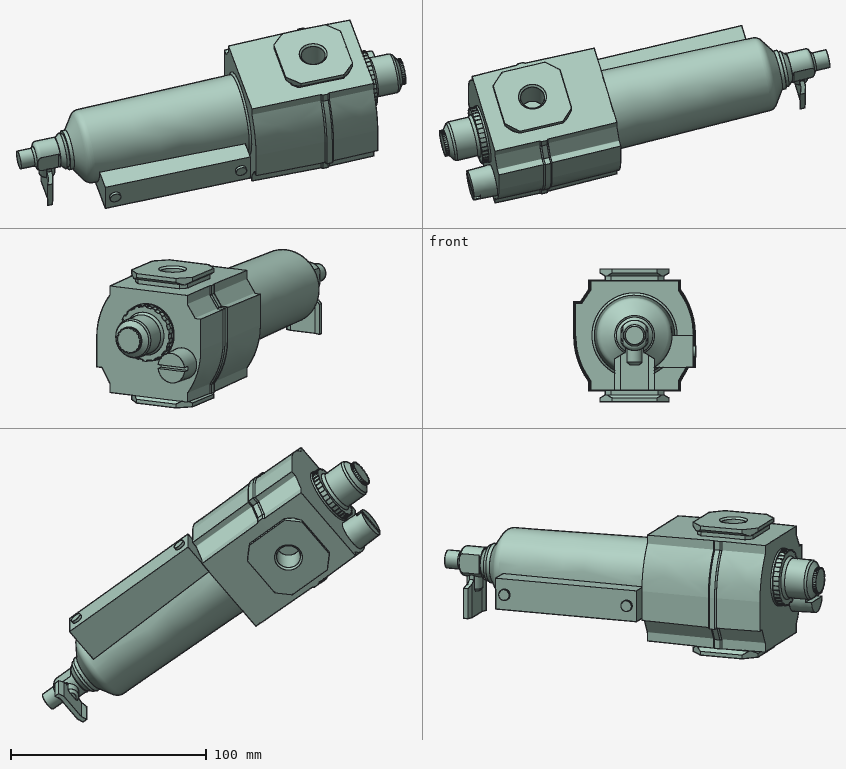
import cadquery as cq
import math


HEAD_BACK = 25.8
HEAD_FRONT = -38.7
HEAD_HALF_HEIGHT = 28.3
HEAD_HALF_WIDTH = 30.5
HEAD_FLAT_HALF_WIDTH = 22.8
CHEEK_EDGE_Z = 23.5
LEFT_STEP_Z = 16.7
RIGHT_STEP_Z = 15.7
STEP_ROOT_X = 27.3
DRAFT_ANGLE = 0.7

RIB_HEIGHT = 0.6
RIB_TOP_HALF_WIDTH = 1.5
RIB_BASE_HALF_WIDTH = 2.2

PORT_TOP = 34.0
PORT_BEVEL_TOP = 32.0
PORT_BEVEL_BOTTOM = 30.3
PORT_HALF_SIZE = 17.7
PORT_CORNER_CUT = 6.3
NECK_HALF_SIZE = 15.0
NECK_CORNER_CUT = 3.0
NECK_ROOT_DEPTH = 2.0
PORT_HOLE_RADIUS = 6.1
PORT_MOUTH_RADIUS = 7.1
PORT_HOLE_DEPTH = 16.3

BOWL_COLLAR_RADIUS = 21.8
BOWL_TOP_RADIUS = 20.5
BOWL_BOTTOM_RADIUS = 19.1
BOWL_COLLAR_END = HEAD_FRONT - 1.0
BOWL_WALL_END = -120.9
SHOULDER_RADIUS = 4.5
SHOULDER_ANGLE = math.radians(55)
SPOUT_RADIUS = 10.2
SPOUT_END = -131.5

PLATE_FACE_X = 30.0
PLATE_HEIGHT = 16.3
PLATE_BACK = -41.7
PLATE_FRONT = -118.6
SCREW_RADIUS = 2.8
SCREW_FACE_X = 31.3
SCREW_INSET = 5.0

BEAD_RADIUS = 9.4
BEAD_ROOT_RADIUS = 8.5
BEAD_TAIL_RADIUS = 7.0
BEAD_CREST_Y = -133.0
BEAD_END = -135.7
VALVE_RADIUS = 7.7
VALVE_HALF_FLAT = 6.0
VALVE_FLAT_START = -136.8
VALVE_ROUND_START = -145.5
VALVE_ROUND_RADIUS = 2.2
TIP_RADIUS = 4.7
TIP_START = -149.0
TIP_END = -156.0

STUD_Y = -141.2
STUD_RADIUS = 4.0
STUD_BOTTOM = -15.0
STUD_CHAMFER = 1.5

WING_HALF_WIDTH = 10.2
WING_BEND_X = 7.1
WING_THICKNESS = 2.5
WING_TIP_SHIFT = 1.2
WING_BOTTOM = -27.9
WING_CORNER_Z = -12.0
WING_SHOULDER_X = 4.7
WING_SHOULDER_Z = -8.5

KNOB_Z = 6.3
KNOB_BASE_RADIUS = 14.9
KNOB_BASE_END = 26.9
RING_RADIUS = 14.5
RING_END = 30.1
RING_GROOVE_DEPTH = 0.6
RING_GROOVES = 18
COLLAR_RADIUS = 11.2
KNOB_RADIUS = 10.2
KNOB_COLLAR_END = 31.7
KNOB_WALL_END = 42.3
KNOB_SHOULDER_RADIUS = 9.5
KNOB_SHOULDER_Y = 43.5
BUTTON_RADIUS = 6.7
BUTTON_START = 45.5
KNOB_END = 47.5
BUTTON_GROOVE_DEPTH = 0.5
BUTTON_GROOVES = 18

PLUG_X = -19.7
PLUG_Z = -8.0
PLUG_RADIUS = 8.1
PLUG_TOP_RADIUS = 7.7
PLUG_END = 38.0
SLOT_WIDTH = 2.0
SLOT_DEPTH = 3.3


def turned(points):
    """Solid of revolution about the Y axis from (radius, y) points."""
    return cq.Workplane("XY").polyline(points).close().revolve(360, (0, 0), (0, 1))


def box_between(x_range, y_range, z_range):
    size = [high - low for low, high in (x_range, y_range, z_range)]
    return cq.Workplane("XY").box(*size, centered=False).translate((x_range[0], y_range[0], z_range[0]))


def octagon(half_size, corner_cut, bottom, top):
    return (
        cq.Workplane("XY", origin=(0, 0, bottom))
        .rect(2 * half_size, 2 * half_size)
        .extrude(top - bottom)
        .edges("|Z")
        .chamfer(corner_cut)
    )


def head_outline():
    """Section at the parting plane: two arched cheeks, each ending in a step."""
    flat, top, side = HEAD_FLAT_HALF_WIDTH, HEAD_HALF_HEIGHT, HEAD_HALF_WIDTH
    cheek_drop = side - flat
    cheek_radius = (CHEEK_EDGE_Z**2 + cheek_drop**2) / (2 * cheek_drop)
    half_angle = math.asin(CHEEK_EDGE_Z / cheek_radius) / 2
    mid_x = side - cheek_radius * (1 - math.cos(half_angle))
    mid_z = cheek_radius * math.sin(half_angle)
    return (
        cq.Workplane("XZ")
        .moveTo(-flat, top)
        .lineTo(flat, top)
        .lineTo(flat, CHEEK_EDGE_Z)
        .threePointArc((mid_x, mid_z), (side, 0))
        .lineTo(side, -RIGHT_STEP_Z)
        .lineTo(STEP_ROOT_X, -RIGHT_STEP_Z)
        .lineTo(flat, -CHEEK_EDGE_Z)
        .lineTo(flat, -top)
        .lineTo(-flat, -top)
        .lineTo(-flat, -CHEEK_EDGE_Z)
        .threePointArc((-mid_x, -mid_z), (-side, 0))
        .lineTo(-side, LEFT_STEP_Z)
        .lineTo(-STEP_ROOT_X, LEFT_STEP_Z)
        .lineTo(-flat, CHEEK_EDGE_Z)
        .close()
    )


def rib_outline():
    return head_outline().offset2D(RIB_HEIGHT, "intersection")


def make_rib():
    """Bevelled band around both sides of the head, cut flush with its drafted top and bottom."""
    bevel_length = RIB_BASE_HALF_WIDTH - RIB_TOP_HALF_WIDTH
    bevel_angle = math.degrees(math.atan2(RIB_HEIGHT, bevel_length))
    band = rib_outline().extrude(RIB_TOP_HALF_WIDTH)
    bevel = rib_outline().extrude(bevel_length, taper=bevel_angle).translate((0, -RIB_TOP_HALF_WIDTH, 0))
    level = (
        cq.Workplane("XZ")
        .rect(4 * HEAD_HALF_WIDTH, 2 * HEAD_HALF_HEIGHT)
        .extrude(RIB_BASE_HALF_WIDTH, taper=DRAFT_ANGLE)
    )
    front_half = band.union(bevel).intersect(level)
    return front_half.union(front_half.mirror("XZ"))


def make_port():
    """Upper port: bevelled square flange with cut corners on a narrower neck."""
    wide = 2 * PORT_HALF_SIZE
    narrow = 2 * NECK_HALF_SIZE
    rim = (
        cq.Workplane("XY", origin=(0, 0, PORT_BEVEL_TOP))
        .rect(wide, wide)
        .extrude(PORT_TOP - PORT_BEVEL_TOP)
    )
    bevel = (
        cq.Workplane("XY", origin=(0, 0, PORT_BEVEL_BOTTOM))
        .rect(narrow, narrow)
        .workplane(offset=PORT_BEVEL_TOP - PORT_BEVEL_BOTTOM)
        .rect(wide, wide)
        .loft(ruled=True)
    )
    corners = octagon(PORT_HALF_SIZE, PORT_CORNER_CUT, PORT_BEVEL_BOTTOM, PORT_TOP)
    neck = octagon(NECK_HALF_SIZE, NECK_CORNER_CUT, HEAD_HALF_HEIGHT - NECK_ROOT_DEPTH, PORT_BEVEL_BOTTOM)
    return rim.union(bevel).intersect(corners).union(neck)


def make_port_hole():
    mouth_depth = PORT_MOUTH_RADIUS - PORT_HOLE_RADIUS
    hole = (
        cq.Workplane("XZ")
        .polyline([
            (0, PORT_TOP),
            (PORT_MOUTH_RADIUS, PORT_TOP),
            (PORT_HOLE_RADIUS, PORT_TOP - mouth_depth),
            (PORT_HOLE_RADIUS, PORT_TOP - PORT_HOLE_DEPTH),
            (0, PORT_TOP - PORT_HOLE_DEPTH),
        ])
        .close()
    )
    return hole.revolve(360, (0, 0), (0, 1))


def make_head():
    front_half = head_outline().extrude(-HEAD_FRONT, taper=DRAFT_ANGLE)
    back_half = head_outline().extrude(HEAD_BACK, taper=DRAFT_ANGLE).mirror("XZ")
    head = front_half.union(back_half).union(make_rib())
    port = make_port()
    hole = make_port_hole()
    head = head.union(port).union(port.mirror("XY"))
    return head.cut(hole).cut(hole.mirror("XY"))


def make_level_plate():
    """Sight plate along the lower +X side of the bowl, held by two screw heads."""
    plate = box_between((0, PLATE_FACE_X), (PLATE_FRONT, PLATE_BACK), (-PLATE_HEIGHT, 0))
    for y in (PLATE_BACK - SCREW_INSET, PLATE_FRONT + SCREW_INSET):
        screw = (
            cq.Workplane("YZ", origin=(PLATE_FACE_X, y, -PLATE_HEIGHT / 2))
            .circle(SCREW_RADIUS)
            .extrude(SCREW_FACE_X - PLATE_FACE_X)
        )
        plate = plate.union(screw)
    return plate


def make_bowl():
    def shoulder_point(angle):
        return (
            BOWL_BOTTOM_RADIUS - SHOULDER_RADIUS * (1 - math.cos(angle)),
            BOWL_WALL_END - SHOULDER_RADIUS * math.sin(angle),
        )

    shoulder_r, shoulder_y = shoulder_point(SHOULDER_ANGLE)
    spout_start = shoulder_y - (shoulder_r - SPOUT_RADIUS) / math.tan(SHOULDER_ANGLE)
    shell = (
        cq.Workplane("XY")
        .moveTo(0, HEAD_FRONT)
        .lineTo(BOWL_COLLAR_RADIUS, HEAD_FRONT)
        .lineTo(BOWL_TOP_RADIUS, BOWL_COLLAR_END)
        .lineTo(BOWL_BOTTOM_RADIUS, BOWL_WALL_END)
        .threePointArc(shoulder_point(SHOULDER_ANGLE / 2), (shoulder_r, shoulder_y))
        .lineTo(SPOUT_RADIUS, spout_start)
        .lineTo(SPOUT_RADIUS, SPOUT_END)
        .lineTo(0, SPOUT_END)
        .close()
        .revolve(360, (0, 0), (0, 1))
    )
    return shell.union(make_level_plate())


def make_wing():
    """Thumb wing: a flat plate with its two ends bent opposite ways."""
    half = WING_THICKNESS / 2
    front_edge = [
        (-WING_HALF_WIDTH, WING_TIP_SHIFT - half),
        (-WING_BEND_X, -half),
        (WING_BEND_X, -half),
        (WING_HALF_WIDTH, -WING_TIP_SHIFT - half),
    ]
    back_edge = [(x, y + WING_THICKNESS) for x, y in reversed(front_edge)]
    bent = (
        cq.Workplane("XY", origin=(0, STUD_Y, WING_BOTTOM))
        .polyline(front_edge + back_edge)
        .close()
        .extrude(-WING_BOTTOM)
    )
    face = (
        cq.Workplane("XZ", origin=(0, STUD_Y, 0))
        .polyline([
            (-WING_HALF_WIDTH, WING_BOTTOM),
            (WING_HALF_WIDTH, WING_BOTTOM),
            (WING_HALF_WIDTH, WING_CORNER_Z),
            (WING_SHOULDER_X, WING_SHOULDER_Z),
            (WING_SHOULDER_X, 0),
            (-WING_SHOULDER_X, 0),
            (-WING_SHOULDER_X, WING_SHOULDER_Z),
            (-WING_HALF_WIDTH, WING_CORNER_Z),
        ])
        .close()
        .extrude(2 * WING_THICKNESS, both=True)
    )
    return bent.intersect(face)


def make_drain_valve():
    bead = turned([
        (0, SPOUT_END),
        (BEAD_ROOT_RADIUS, SPOUT_END),
        (BEAD_RADIUS, BEAD_CREST_Y),
        (BEAD_TAIL_RADIUS, BEAD_END),
        (0, BEAD_END),
    ])
    round_end_r = VALVE_RADIUS - VALVE_ROUND_RADIUS
    round_mid = VALVE_ROUND_RADIUS * math.sqrt(0.5)
    barrel = (
        cq.Workplane("XY")
        .moveTo(0, BEAD_END)
        .lineTo(VALVE_RADIUS, BEAD_END)
        .lineTo(VALVE_RADIUS, VALVE_ROUND_START)
        .threePointArc(
            (round_end_r + round_mid, VALVE_ROUND_START - round_mid),
            (round_end_r, VALVE_ROUND_START - VALVE_ROUND_RADIUS),
        )
        .lineTo(TIP_RADIUS, TIP_START)
        .lineTo(TIP_RADIUS, TIP_END)
        .lineTo(0, TIP_END)
        .close()
        .revolve(360, (0, 0), (0, 1))
    )
    flats = (
        cq.Workplane("XY")
        .polyline([
            (-VALVE_HALF_FLAT, TIP_END),
            (VALVE_HALF_FLAT, TIP_END),
            (VALVE_HALF_FLAT, VALVE_FLAT_START),
            (BEAD_TAIL_RADIUS, BEAD_END),
            (-BEAD_TAIL_RADIUS, BEAD_END),
            (-VALVE_HALF_FLAT, VALVE_FLAT_START),
        ])
        .close()
        .extrude(VALVE_RADIUS, both=True)
    )
    stud = (
        cq.Workplane("XY", origin=(0, STUD_Y, STUD_BOTTOM))
        .circle(STUD_RADIUS)
        .extrude(-STUD_BOTTOM)
        .faces("<Z")
        .chamfer(STUD_CHAMFER)
    )
    return bead.union(barrel.intersect(flats)).union(stud).union(make_wing())


def cut_grooves(solid, count, radius, depth, start, end):
    """Cut evenly spaced lengthwise grooves, as wide as the ridges left between them."""
    width = math.pi * radius / count
    groove = box_between((radius - depth, radius + depth), (start, end), (-width / 2, width / 2))
    for index in range(count):
        solid = solid.cut(groove.rotate((0, 0, 0), (0, 1, 0), index * 360 / count))
    return solid


def make_knob():
    knob = turned([
        (0, HEAD_BACK),
        (KNOB_BASE_RADIUS, HEAD_BACK),
        (KNOB_BASE_RADIUS, KNOB_BASE_END),
        (RING_RADIUS, KNOB_BASE_END),
        (RING_RADIUS, RING_END),
        (COLLAR_RADIUS, RING_END),
        (KNOB_RADIUS, KNOB_COLLAR_END),
        (KNOB_RADIUS, KNOB_WALL_END),
        (KNOB_SHOULDER_RADIUS, KNOB_SHOULDER_Y),
        (BUTTON_RADIUS, BUTTON_START),
        (BUTTON_RADIUS, KNOB_END),
        (0, KNOB_END),
    ])
    knob = cut_grooves(knob, RING_GROOVES, RING_RADIUS, RING_GROOVE_DEPTH, KNOB_BASE_END, RING_END)
    knob = cut_grooves(knob, BUTTON_GROOVES, BUTTON_RADIUS, BUTTON_GROOVE_DEPTH, BUTTON_START, KNOB_END)
    return knob.translate((0, 0, KNOB_Z))


def make_plug():
    plug = turned([
        (0, HEAD_BACK),
        (PLUG_RADIUS, HEAD_BACK),
        (PLUG_TOP_RADIUS, PLUG_END),
        (0, PLUG_END),
    ])
    slot = box_between(
        (-PLUG_RADIUS, PLUG_RADIUS), (PLUG_END - SLOT_DEPTH, PLUG_END), (-SLOT_WIDTH / 2, SLOT_WIDTH / 2)
    )
    return plug.cut(slot).translate((PLUG_X, 0, PLUG_Z))


head = make_head()
bowl = make_bowl()
drain_valve = make_drain_valve()
knob = make_knob()
plug = make_plug()

result = cq.Compound.makeCompound([head.val(), bowl.val(), drain_valve.val(), knob.val(), plug.val()])